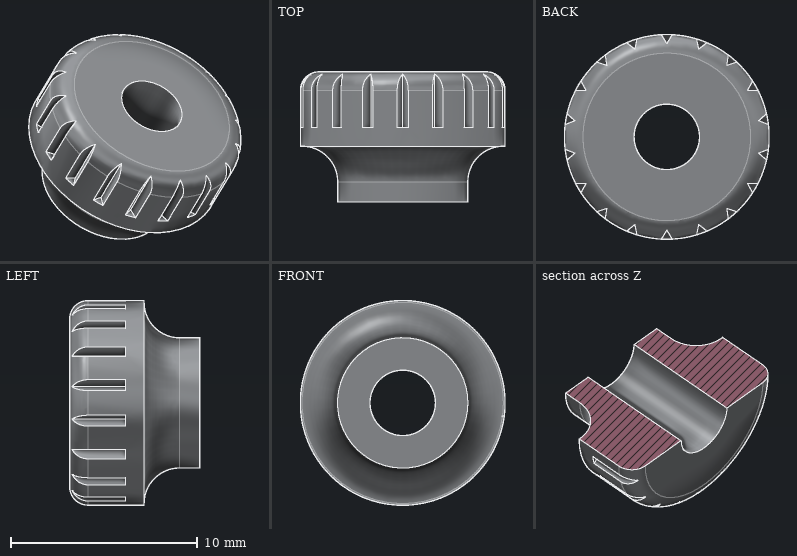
import cadquery as cq

head_diameter = 11.0
neck_diameter = 7.0
bore_diameter = 3.5
total_length = 7.0
head_length = 4.0
head_edge_radius = 1.0
neck_fillet_radius = 1.9

groove_count = 18
groove_width = 0.6
groove_depth = 0.5
groove_length = 3.0

head_radius = head_diameter / 2
neck_radius = neck_diameter / 2
bore_radius = bore_diameter / 2
head_start = total_length - head_length


def knob_body():
    """Revolve the half section: bore, straight neck, concave fillet and rounded head."""
    fillet_start = head_start - neck_fillet_radius
    rim_inner_radius = neck_radius + neck_fillet_radius
    return (
        cq.Workplane("XY")
        .moveTo(bore_radius, 0)
        .lineTo(neck_radius, 0)
        .lineTo(neck_radius, fillet_start)
        .radiusArc((rim_inner_radius, head_start), neck_fillet_radius)
        .lineTo(head_radius, head_start)
        .lineTo(head_radius, total_length - head_edge_radius)
        .radiusArc((head_radius - head_edge_radius, total_length), -head_edge_radius)
        .lineTo(bore_radius, total_length)
        .close()
        .revolve(360, (0, 0, 0), (0, 1, 0))
    )


def groove_cutter():
    """V-shaped prism on the +Z side, with sides extended past the head surface."""
    overshoot = 0.11
    apex_radius = head_radius - groove_depth
    outer_radius = head_radius + overshoot
    half_width = groove_width / 2 * (groove_depth + overshoot) / groove_depth
    return (
        cq.Workplane("XZ", origin=(0, total_length, 0))
        .moveTo(0, apex_radius)
        .lineTo(half_width, outer_radius)
        .lineTo(-half_width, outer_radius)
        .close()
        .extrude(groove_length)
    )


result = knob_body()
groove = groove_cutter()
for index in range(groove_count):
    angle = index * 360 / groove_count
    result = result.cut(groove.rotate((0, 0, 0), (0, 1, 0), angle))